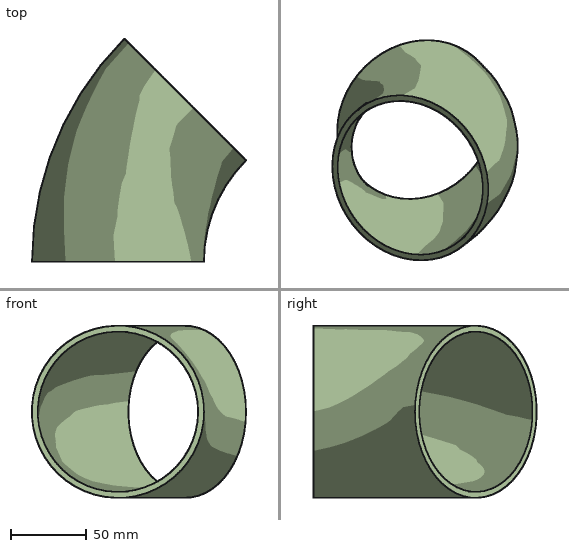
import cadquery as cq
import math

overall_length = 148.2
outer_diameter = 114.3
wall_thickness = 4.0
bend_angle = 45.0

outer_radius = outer_diameter / 2
inner_radius = outer_radius - wall_thickness

bend_radius = overall_length / math.sin(math.radians(bend_angle)) - outer_radius

result = (
    cq.Workplane("XZ")
    .circle(outer_radius)
    .circle(inner_radius)
    .revolve(bend_angle, (bend_radius, 0, 0), (bend_radius, -1, 0))
)